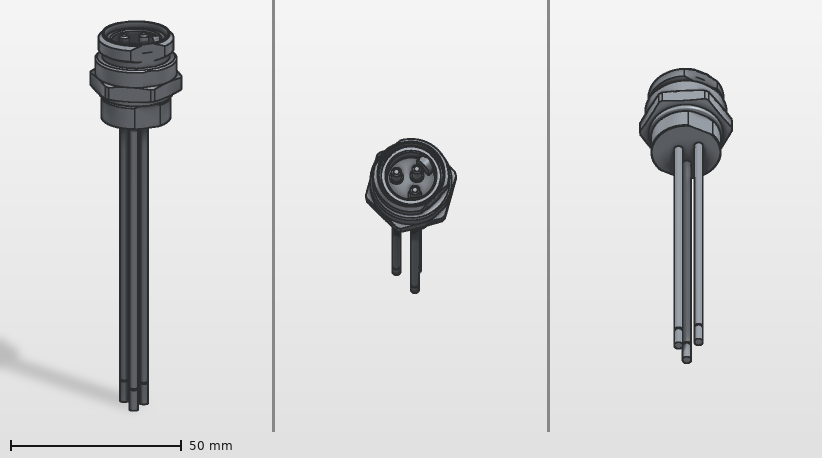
import cadquery as cq
import math

total_length = 116.3

collar_bottom = 4.8
groove_bottom = 7.3
hex_top = 12.6
hex_bottom = 17.1
seal_bottom = 19.2
body_height = 26.4

lip_height = 0.3
collar_radius = 11.0
collar_chamfer = 1.0
collar_flat = 9.7
groove_radius = 9.9
groove_taper = 0.7
flange_radius = 12.0
flange_chamfer = 0.6
flange_flat = 11.7
seal_radius = 10.9
base_radius = 10.2
base_flat = 9.4
base_top_chamfer = 0.6
base_bottom_chamfer = 0.2

hex_across_flats = 24.0
hex_corner_radius = 13.5
hex_edge_angle = 15.0

recess_radius = 9.4
recess_depth = 1.6
insert_radius = 8.7
insert_gap_depth = 1.2
bore_radius = 7.1
bore_chamfer = 0.5
bore_depth = 8.1

key_top = 1.9
key_width = 4.9
key_face_y = 4.9

signal_x = 3.8
signal_y = -2.2
earth_y = 2.5
signal_contacts = [(-signal_x, signal_y), (signal_x, signal_y)]
earth_contact = (0, earth_y)
pin_radius = 1.4
pin_tip_chamfer = 0.6
pin_seat_radius = 2.0
pin_seat_depth = 0.6
signal_pin_top = 1.7
earth_pin_top = 0.6

wire_radius = 1.3
wire_ring_height = 6.4
wire_ring_width = 0.5
wire_ring_depth = 0.06


def level(depth):
    """Height of a plane that lies `depth` below the rim."""
    return total_length - depth


def disc(radius, top, bottom, x=0, y=0):
    """Upright cylinder between two depths below the rim."""
    plane = cq.Workplane("XY", origin=(x, y, level(bottom)))
    return plane.circle(radius).extrude(bottom - top)


def two_flats(solid, flat):
    """Cut a round section down to parallel flats at X = -flat and X = +flat."""
    slab_length = 2 * hex_corner_radius
    slab = cq.Workplane("XY").box(2 * flat, slab_length, total_length, centered=(True, True, False))
    return solid.intersect(slab)


def make_collar():
    lip = disc(groove_radius, 0, lip_height)
    crown = disc(collar_radius, lip_height, collar_bottom + groove_taper)
    crown = crown.faces(">Z").chamfer(collar_chamfer, collar_radius - groove_radius)
    crown = crown.faces("<Z").chamfer(groove_taper, collar_radius - groove_radius)
    neck = disc(groove_radius, collar_bottom, groove_bottom)
    return two_flats(lip.union(crown).union(neck), collar_flat)


def make_flange():
    flange = disc(flange_radius, groove_bottom, hex_top).faces(">Z").chamfer(flange_chamfer)
    return two_flats(flange, flange_flat)


def make_hexagon():
    height = hex_bottom - hex_top
    corner_diameter = hex_across_flats / math.cos(math.pi / 6)
    prism = cq.Workplane("XY", origin=(0, 0, level(hex_bottom))).polygon(6, corner_diameter).extrude(height)
    edge_width = hex_corner_radius - hex_across_flats / 2
    edge_drop = edge_width * math.tan(math.radians(hex_edge_angle))
    turned = disc(hex_corner_radius, hex_top, hex_bottom)
    turned = turned.faces(">Z").chamfer(edge_drop, edge_width)
    turned = turned.faces("<Z").chamfer(edge_drop, edge_width)
    return prism.intersect(turned)


def make_seal():
    """Sealing ring with a half-round outer edge."""
    round_radius = (seal_bottom - hex_bottom) / 2
    core_radius = seal_radius - round_radius
    ring = (
        cq.Workplane("XZ")
        .moveTo(0, level(hex_bottom))
        .lineTo(core_radius, level(hex_bottom))
        .threePointArc((seal_radius, level(hex_bottom + round_radius)), (core_radius, level(seal_bottom)))
        .lineTo(0, level(seal_bottom))
        .close()
    )
    return ring.revolve(360, (0, 0, 0), (0, 1, 0))


def make_base():
    base = disc(base_radius, seal_bottom, body_height)
    base = base.faces(">Z").chamfer(base_top_chamfer)
    base = base.faces("<Z").chamfer(base_bottom_chamfer)
    return two_flats(base, base_flat)


def make_bore():
    """Solid that fills the bore, widened at its mouth by the chamfer."""
    profile = (
        cq.Workplane("XZ")
        .moveTo(0, level(bore_depth))
        .lineTo(bore_radius, level(bore_depth))
        .lineTo(bore_radius, level(recess_depth + bore_chamfer))
        .lineTo(bore_radius + bore_chamfer, level(recess_depth))
        .lineTo(0, level(recess_depth))
        .close()
    )
    return profile.revolve(360, (0, 0, 0), (0, 1, 0))


def cut_socket(body):
    """Open the recess, the gap round the insert, the bore and a shallow seat round each pin."""
    gap_bottom = recess_depth + insert_gap_depth
    gap = disc(recess_radius, recess_depth, gap_bottom).cut(disc(insert_radius, recess_depth, gap_bottom))
    body = body.cut(disc(recess_radius, 0, recess_depth)).cut(gap).cut(make_bore())
    for x, y in signal_contacts + [earth_contact]:
        body = body.cut(disc(pin_seat_radius, bore_depth, bore_depth + pin_seat_depth, x, y))
    return body


def make_key():
    """Bar with a half-round top that reaches from the bore wall to a flat face."""
    half = key_width / 2
    shoulder = level(key_top + half)
    profile = (
        cq.Workplane("XZ", origin=(0, key_face_y, 0))
        .moveTo(-half, level(bore_depth))
        .lineTo(-half, shoulder)
        .threePointArc((0, level(key_top)), (half, shoulder))
        .lineTo(half, level(bore_depth))
        .close()
    )
    return profile.extrude(key_face_y - bore_radius - bore_chamfer)


def make_pin(x, y, top):
    pin = disc(pin_radius, top, bore_depth + pin_seat_depth, x, y)
    return pin.faces(">Z").chamfer(pin_tip_chamfer)


def make_wire(x, y):
    wire = disc(wire_radius, body_height, total_length, x, y)
    ring_plane = cq.Workplane("XY", origin=(x, y, wire_ring_height))
    ring = ring_plane.circle(wire_radius).circle(wire_radius - wire_ring_depth).extrude(wire_ring_width)
    return wire.cut(ring)


body = make_collar().union(make_flange()).union(make_hexagon())
body = body.union(make_seal()).union(make_base())
body = cut_socket(body).union(make_key())
for x, y in signal_contacts:
    body = body.union(make_pin(x, y, signal_pin_top)).union(make_wire(x, y))
result = body.union(make_pin(*earth_contact, earth_pin_top)).union(make_wire(*earth_contact))